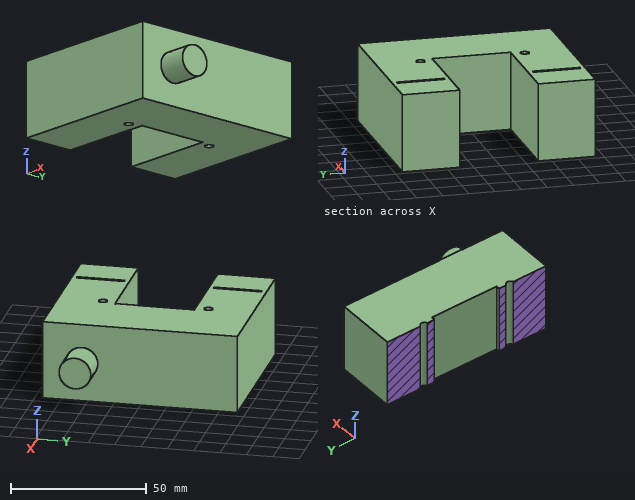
import cadquery as cq

total_length = 77.0
width = 74.0
height = 30.0

connector_diameter = 12.0
connector_length = 12.0
connector_from_side = 15.0

opening_width = 30.0
opening_depth = 40.0

hole_diameter = 3.2
hole_x = 38.0
hole_spacing = 40.0

groove_x = 15.0
groove_width = 1.0
groove_length = 18.0
groove_depth = 0.1

body_length = total_length - connector_length
arm_width = (width - opening_width) / 2
arm_centre_y = (opening_width + arm_width) / 2


def fork_body():
    """U-shaped block with its arm tips at X = 0 and its base at Z = 0."""
    block = cq.Workplane("XY").box(body_length, width, height, centered=(False, True, False))
    opening = cq.Workplane("XY").box(opening_depth, opening_width, height, centered=(False, True, False))
    return block.cut(opening)


def connector():
    """Round stub at mid height on the back face, near the -Y side."""
    return (
        cq.Workplane("YZ", origin=(body_length, 0, 0))
        .center(-width / 2 + connector_from_side, height / 2)
        .circle(connector_diameter / 2)
        .extrude(connector_length)
    )


def mounting_holes():
    """Two vertical holes through the full height."""
    return (
        cq.Workplane("XY")
        .pushPoints([(hole_x, side * hole_spacing / 2) for side in (-1, 1)])
        .circle(hole_diameter / 2)
        .extrude(height)
    )


def marking_grooves():
    """One shallow groove in the top of each arm."""
    return (
        cq.Workplane("XY", origin=(0, 0, height))
        .pushPoints([(groove_x, side * arm_centre_y) for side in (-1, 1)])
        .rect(groove_width, groove_length)
        .extrude(-groove_depth)
    )


result = fork_body().union(connector()).cut(mounting_holes()).cut(marking_grooves())